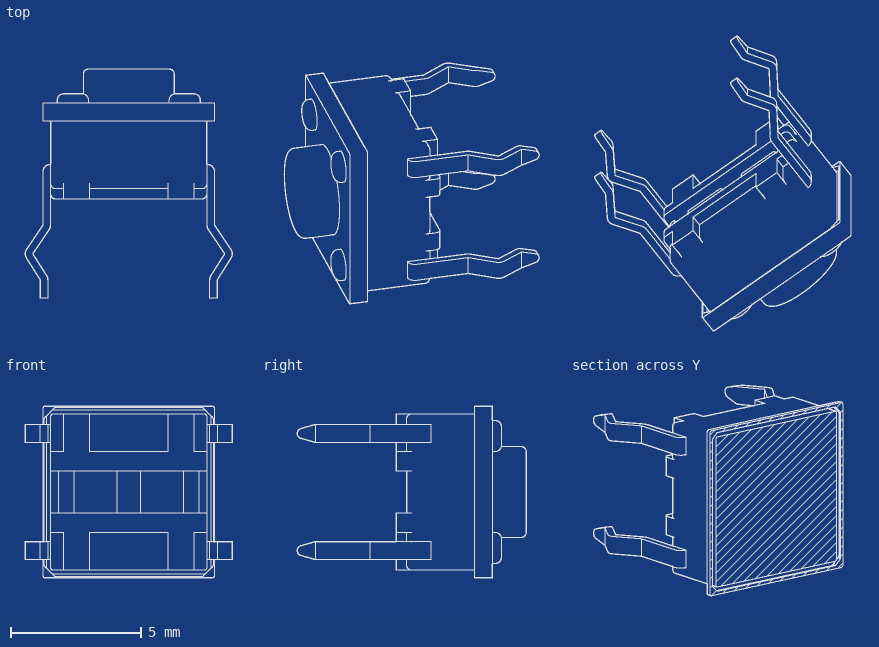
import cadquery as cq
import math


base_width = 6.0
base_floor_y = 0.4
base_edge_radius = 0.2
base_corner_radius = 0.1

channel_half_width = 0.8
rail_width = 0.75
post_inner_x = 1.5
post_width = 1.0

groove_depth = 0.4
groove_width = 0.6
centre_groove_width = 0.9
groove_rim_width = 0.3
groove_edge_radius = 0.1

cover_width = 6.6
cover_bottom_y = 3.0
cover_thickness = 0.7
cover_corner_radius = 0.1
recess_depth = 0.2
recess_mouth_width = 6.5
recess_mouth_chamfer = 0.1
recess_corner_cut = 0.42

plunger_diameter = 3.5
plunger_height = 1.3
plunger_edge_radius = 0.2
rivet_diameter = 1.2
rivet_height = 0.35
rivet_edge_radius = 0.25
rivet_offset = 2.15

pin_thickness = 0.3
pin_width = 0.7
pin_offset_z = 2.25
pin_top_y = 1.34
upper_bend_y = -1.0
knee_inner_x = 3.68
knee_y = -2.1
foot_inner_x = 3.1
foot_top_y = -3.1
pin_end_y = -3.8
pin_tip_radius = 0.2

base_half = base_width / 2
cover_top_y = cover_bottom_y + cover_thickness
pin_half_width = pin_width / 2


def block(x_range, y_range, z_range):
    """Box between the given limits on each axis."""
    x0, x1 = x_range
    y0, y1 = y_range
    z0, z1 = z_range
    return cq.Workplane("XY").box(x1 - x0, y1 - y0, z1 - z0, centered=False).translate((x0, y0, z0))


def plane_facing_y(y):
    """Workplane at height y with local x along X, local y along -Z and normal +Y."""
    return cq.Workplane(cq.Plane(origin=(0, y, 0), xDir=(1, 0, 0), normal=(0, 1, 0)))


def make_base():
    height = cover_top_y - base_floor_y
    base = plane_facing_y(base_floor_y).rect(base_width, base_width).extrude(height)
    base = base.edges("|Y").fillet(base_corner_radius)
    return base.faces("<Y").edges().fillet(base_edge_radius)


def make_rails():
    """Two rails with rounded ends, each with two posts reaching the base side."""
    post_top_y = base_floor_y + base_edge_radius
    rail_outer_z = channel_half_width + rail_width
    rails = cq.Workplane("XY")
    for side in (-1, 1):
        rail_z = sorted((side * channel_half_width, side * rail_outer_z))
        rail = block((-base_half, base_half), (0, post_top_y), rail_z)
        rails = rails.add(rail.edges("|Z and <Y").fillet(base_edge_radius))
        post_z = sorted((side * channel_half_width, side * base_half))
        for hand in (-1, 1):
            post_x = sorted((hand * post_inner_x, hand * (post_inner_x + post_width)))
            rails = rails.add(block(post_x, (0, post_top_y), post_z))
    return rails.combine()


def make_groove(x_start, x_end, rounded_edges):
    """Groove cutter, flared with a radius at each listed edge of its mouth."""
    z_range = (-channel_half_width, channel_half_width)
    groove = block((x_start, x_end), (base_floor_y, base_floor_y + groove_depth), z_range)
    for x, outward in rounded_edges:
        x_range = sorted((x, x + outward * groove_edge_radius))
        arc_y = base_floor_y + groove_edge_radius
        corner = block(x_range, (base_floor_y, arc_y), z_range)
        rod = cq.Workplane("XY", origin=(x + outward * groove_edge_radius, arc_y, -channel_half_width))
        rod = rod.circle(groove_edge_radius).extrude(2 * channel_half_width)
        groove = groove.union(corner.cut(rod))
    return groove


def cut_grooves(body):
    centre_half = centre_groove_width / 2
    body = body.cut(make_groove(-centre_half, centre_half, [(-centre_half, -1), (centre_half, 1)]))
    outer_x = base_half - groove_rim_width
    inner_x = outer_x - groove_width
    body = body.cut(make_groove(inner_x, outer_x, [(inner_x, -1)]))
    return body.cut(make_groove(-outer_x, -inner_x, [(-inner_x, 1)]))


def make_cover():
    """Square plate; its underside recess has chamfered sides and solid cut-off corners."""
    cover = plane_facing_y(cover_bottom_y).rect(cover_width, cover_width).extrude(cover_thickness)
    cover = cover.edges("|Y").fillet(cover_corner_radius)
    wall_width = recess_mouth_width - 2 * recess_mouth_chamfer
    recess = plane_facing_y(cover_bottom_y).rect(wall_width, wall_width).extrude(recess_depth)
    mouth = (
        plane_facing_y(cover_bottom_y)
        .rect(recess_mouth_width, recess_mouth_width)
        .workplane(offset=recess_mouth_chamfer)
        .rect(wall_width, wall_width)
        .loft(ruled=True)
    )
    octagon = plane_facing_y(cover_bottom_y).rect(recess_mouth_width, recess_mouth_width)
    octagon = octagon.extrude(recess_depth).edges("|Y").chamfer(recess_corner_cut)
    return cover.cut(recess.union(mouth).intersect(octagon))


def make_plunger():
    plunger = plane_facing_y(cover_top_y).circle(plunger_diameter / 2).extrude(plunger_height)
    return plunger.faces(">Y").edges().fillet(plunger_edge_radius)


def make_rivet(x, z):
    rivet = plane_facing_y(cover_top_y).center(x, -z).circle(rivet_diameter / 2).extrude(rivet_height)
    return rivet.faces(">Y").edges().fillet(rivet_edge_radius)


def offset_point(point, angle):
    """Point one pin thickness from `point`, at `angle` from the X axis."""
    return (point[0] + pin_thickness * math.cos(angle), point[1] + pin_thickness * math.sin(angle))


def slope_lean(upper, lower):
    """Lean from the Y axis of a pin length whose opposite edges meet the two bend corners."""
    rise = upper[1] - lower[1]
    run = abs(upper[0] - lower[0])
    return math.atan2(run, rise) + math.asin(pin_thickness / math.hypot(run, rise))


def make_pin_strip():
    """Bent strip on the +X side; each bend is an arc about its sharp inside corner."""
    upper_bend = (base_half + pin_thickness, upper_bend_y)
    knee = (knee_inner_x, knee_y)
    foot = (foot_inner_x + pin_thickness, foot_top_y)

    upper_lean = slope_lean(upper_bend, knee)
    lower_lean = slope_lean(knee, foot)

    shoulder_middle = offset_point((base_half, pin_top_y - pin_thickness), math.pi / 4)
    knee_middle = offset_point(knee, (upper_lean - lower_lean) / 2)
    return (
        cq.Workplane("XY")
        .moveTo(base_half, pin_top_y)
        .threePointArc(shoulder_middle, (upper_bend[0], pin_top_y - pin_thickness))
        .lineTo(*upper_bend)
        .lineTo(*offset_point(knee, upper_lean))
        .threePointArc(knee_middle, offset_point(knee, -lower_lean))
        .lineTo(*foot)
        .lineTo(foot[0], pin_end_y)
        .lineTo(foot_inner_x, pin_end_y)
        .lineTo(foot_inner_x, foot_top_y)
        .threePointArc(offset_point(foot, math.pi - lower_lean / 2), offset_point(foot, math.pi - lower_lean))
        .lineTo(*knee)
        .lineTo(*offset_point(upper_bend, math.pi + upper_lean))
        .threePointArc(offset_point(upper_bend, math.pi + upper_lean / 2), (base_half, upper_bend_y))
        .close()
        .extrude(pin_half_width, both=True)
    )


def make_pin_outline():
    """Pin width outline, narrowing to a rounded tip, as a solid through X."""
    tip_centre_y = pin_end_y + pin_tip_radius
    taper_length = foot_top_y - tip_centre_y
    start_distance = math.hypot(pin_half_width, taper_length)
    taper_angle = math.atan2(pin_half_width, taper_length) - math.asin(pin_tip_radius / start_distance)
    tangent_y = tip_centre_y - pin_tip_radius * math.sin(taper_angle)
    tangent_z = pin_tip_radius * math.cos(taper_angle)
    return (
        cq.Workplane("YZ")
        .moveTo(pin_top_y, pin_half_width)
        .lineTo(foot_top_y, pin_half_width)
        .lineTo(tangent_y, tangent_z)
        .threePointArc((pin_end_y, 0), (tangent_y, -tangent_z))
        .lineTo(foot_top_y, -pin_half_width)
        .lineTo(pin_top_y, -pin_half_width)
        .close()
        .extrude(cover_width)
    )


body = cut_grooves(make_base())
body = body.union(make_rails()).union(make_cover()).union(make_plunger())

for rivet_x in (-rivet_offset, rivet_offset):
    for rivet_z in (-rivet_offset, rivet_offset):
        body = body.union(make_rivet(rivet_x, rivet_z))

right_pin = make_pin_strip().intersect(make_pin_outline())
left_pin = right_pin.mirror("YZ")
for pin_z in (-pin_offset_z, pin_offset_z):
    for pin in (right_pin, left_pin):
        body = body.union(pin.translate((0, 0, pin_z)))

result = body